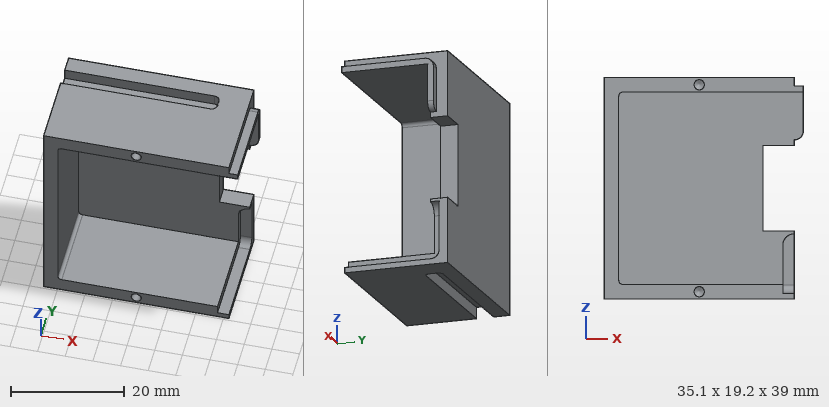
import cadquery as cq
import math


inch = 25.4
module = inch / 16

clearance = 0.5

outer_skin = 1.0

pocket_depth = 16.0
wall = outer_skin + module
back_wall = 2 * module
pocket_corner_radius = 0.7

body_length = 33.5
body_depth = pocket_depth + back_wall
body_height = 39.0

window_length = 5.5
window_height = 15.0

tongue_length = module
tongue_height = 9.5
tongue_top_inset = outer_skin + clearance
tongue_back_inset = module + clearance
tongue_top = body_height - tongue_top_inset
tongue_bottom = tongue_top - tongue_height
tongue_back = body_depth - tongue_back_inset

groove_length = 2.05
groove_bottom = outer_skin
groove_top = tongue_top_inset + tongue_height + clearance
groove_back = tongue_back + clearance
groove_corner_radius = 1.5

slot_width = 2 * module
slot_length = 28.1
slot_depth = module + clearance
slot_corner_radius = 1.0
slot_back_inset = 3.0
slot_back = body_depth - slot_back_inset

pin_diameter = 1.8
pin_depth = 5.0
pin_tip_angle = 118.0
pin_tip_length = pin_diameter / 2 / math.tan(math.radians(pin_tip_angle / 2))
pin_x = body_length / 2


def box(x_range, y_range, z_range):
    """Axis-aligned block given by its limits along each axis."""
    lower, upper = zip(x_range, y_range, z_range)
    size = [high - low for low, high in zip(lower, upper)]
    return cq.Workplane("XY").box(*size, centered=False).translate(lower)


def tip_profile(x_start, radius, z_low, z_high):
    """Prism along Y, one radius long in X, whose lower +X corner is a quarter round."""
    diagonal = radius * math.sqrt(0.5)
    return (
        cq.Workplane("XZ")
        .moveTo(x_start, z_low)
        .threePointArc(
            (x_start + diagonal, z_low + radius - diagonal),
            (x_start + radius, z_low + radius),
        )
        .lineTo(x_start + radius, z_high)
        .lineTo(x_start, z_high)
        .close()
        .extrude(-body_depth)
    )


def pocket():
    """Pocket volume, running out through the open end so that it also hollows the tongue."""
    x_end = body_length + tongue_length
    cutter = box((wall, x_end), (0, pocket_depth), (wall, body_height - wall))
    return cutter.edges("|Y and <X").fillet(pocket_corner_radius)


def window():
    """Opening at mid height through the back wall, reaching the open end."""
    z_low = (body_height - window_height) / 2
    x_range = (body_length - window_length, body_length)
    return box(x_range, (pocket_depth, body_depth), (z_low, z_low + window_height))


def tongue():
    """Tongue block with a rounded top back edge and a rounded lower tip."""
    x_range = (body_length, body_length + tongue_length)
    block = box(x_range, (0, tongue_back), (tongue_bottom, tongue_top))
    block = block.edges("|X and >Y and >Z").fillet(tongue_length)
    return block.intersect(tip_profile(body_length, tongue_length, tongue_bottom, tongue_top))


def groove():
    """Groove volume: the tongue shape turned upside down and sunk into the open end."""
    x_range = (body_length - groove_length, body_length)
    block = box(x_range, (0, groove_back), (groove_bottom, groove_top))
    block = block.edges("|X and >Y and <Z").fillet(groove_corner_radius)
    tip = tip_profile(0, groove_length, -groove_top, -groove_bottom)
    tip = tip.rotate((0, 0, 0), (0, 1, 0), 180).translate((body_length, 0, 0))
    return block.intersect(tip)


def slot(z_low):
    """Slot volume with rounded corners at its closed end."""
    y_range = (slot_back - slot_width, slot_back)
    cutter = box((0, slot_length), y_range, (z_low, z_low + slot_depth))
    return cutter.edges("|Z and >X").fillet(slot_corner_radius)


def pin_hole(z_center):
    """Blind hole along Y with a conical drill tip."""
    radius = pin_diameter / 2
    return (
        cq.Workplane("XY")
        .polyline([(0, 0), (radius, 0), (radius, pin_depth), (0, pin_depth + pin_tip_length)])
        .close()
        .revolve(360, (0, 0), (0, 1))
        .translate((pin_x, 0, z_center))
    )


result = box((0, body_length), (0, body_depth), (0, body_height))
result = result.union(tongue())
result = result.cut(pocket()).cut(window()).cut(groove())
for slot_z in (0, body_height - slot_depth):
    result = result.cut(slot(slot_z))
for rim_z in (wall / 2, body_height - wall / 2):
    result = result.cut(pin_hole(rim_z))